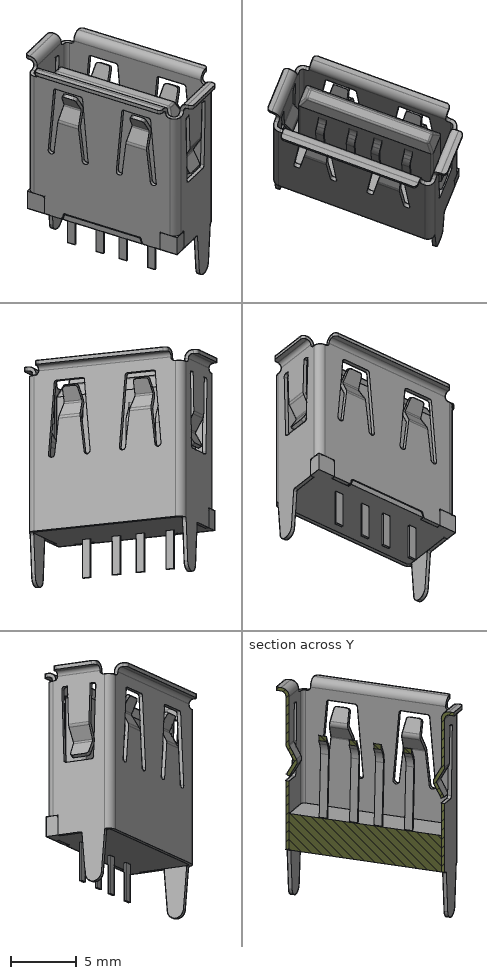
import cadquery as cq
import math


SHEET = 0.3
SHELL_X = 13.1
SHELL_Y = 5.7
HALF_X = SHELL_X / 2
HALF_Y = SHELL_Y / 2
CORNER_R = 0.6
TOTAL_Z = 17.1
LEG_DEPTH = 4.0
MOUTH_Z = TOTAL_Z - LEG_DEPTH

FLARE_INNER_R = 0.35
FLARE_OUTER_R = FLARE_INNER_R + SHEET
FLARE_REACH = 0.75
FLARE_CORNER_R = 0.3
FLARE_HALF_LONG = 5.55
FLARE_HALF_SHORT = 1.85
NECK_R = 0.3
WALL_TOP_Z = MOUTH_Z - FLARE_OUTER_R - NECK_R

BEND_ANGLE = math.radians(30)
BEND_R = 0.15
RAMP_RISE = 1.2
TIP_LENGTH = 1.3
TIP_CORNER_R = 0.24
WINDOW_TOP_Z = 11.58
WINDOW_BOTTOM_Z = 5.61

LONG_SPRING_X = 2.98
LONG_BEND_Z = 8.72
LONG_WINDOW_TOP_HALF = 1.25
LONG_WINDOW_CORNER_R = 0.2
SLOT_R = 0.25
SLOT_END_X = 1.49
SLOT_END_Z = WINDOW_BOTTOM_Z + SLOT_R
LONG_SPRING_ROOT_HALF = SLOT_END_X - SLOT_R
LONG_SPRING_TIP_HALF = 0.6

SHORT_BEND_Z = 8.45
SHORT_WINDOW_TOP_HALF = 1.47
SHORT_WINDOW_BOTTOM_HALF = 1.28
SHORT_WINDOW_CORNER_R = 0.2
SHORT_SPRING_ROOT_HALF = 1.0
SHORT_SPRING_TIP_HALF = 0.79

LEG_Y = 1.27
LEG_ROOT_HALF = 1.0
LEG_TIP_HALF = 0.65
LEG_TIP_R = 0.7
LEG_ROOT_R = 0.15

NOTCH_BOTTOM_HALF = 3.52
NOTCH_TOP_HALF = 3.37
NOTCH_HEIGHT = 0.55
NOTCH_R = 0.15
TAB_GAP = 0.07

FLOOR_Z = 3.0
FOOT_X = 1.5
FOOT_Y = 1.03
FOOT_Z = 1.55
FOOT_CORNER_R = 0.2
TONGUE_X = 10.98
TONGUE_BACK_Y = -0.03
TONGUE_Y = 1.8
TONGUE_EDGE_R = 0.17
TONGUE_TAPER_Z = 10.98
TONGUE_TOP_Z = 12.02
TONGUE_SIDE_INSET = 0.5
TONGUE_FRONT_INSET = 0.5
TONGUE_BACK_INSET = 0.41
TONGUE_RIM_R = 0.19

OUTER_CONTACT_X = 3.5
INNER_CONTACT_X = 1.01
CONTACT_XS = (-OUTER_CONTACT_X, -INNER_CONTACT_X, INNER_CONTACT_X, OUTER_CONTACT_X)
CONTACT_WIDTH = 0.65
CONTACT_SHEET = 0.17
CONTACT_BASE_Y = 0.1
CONTACT_CREST_Y = 0.58
CONTACT_CREST_Z = 8.55
CONTACT_RETURN_ANGLE = math.radians(60)
CONTACT_CREST_R = 1.71
CONTACT_FOLD_R = 1.28
CONTACT_END_Z = 10.26
PIN_Y = -1.39
PIN_DEPTH = 3.0


def rounded_polygon(plane, points):
    """Closed outline through (u, v, corner radius) points, with tangent arcs at the corners."""
    corners = []
    for index, (u, v, radius) in enumerate(points):
        corner = cq.Vector(u, v)
        before = (cq.Vector(*points[index - 1][:2]) - corner).normalized()
        after = (cq.Vector(*points[(index + 1) % len(points)][:2]) - corner).normalized()
        half_angle = before.getAngle(after) / 2
        setback = radius / math.tan(half_angle)
        bulge = radius / math.sin(half_angle) - radius
        middle = corner + (before + after).normalized() * bulge
        corners.append((radius, corner + before * setback, middle, corner + after * setback))

    outline = cq.Workplane(plane).moveTo(*corners[0][3].toTuple()[:2])
    for radius, start, middle, end in corners[1:] + corners[:1]:
        outline = outline.lineTo(*start.toTuple()[:2])
        if radius > 0:
            outline = outline.threePointArc(middle.toTuple()[:2], end.toTuple()[:2])
    return outline.close()


def trapezoid(bottom_half, bottom_z, top_half, top_z, bottom_r=0, top_r=0):
    """Corner list of a symmetric trapezoid with optional corner radii."""
    return [
        (-bottom_half, bottom_z, bottom_r),
        (bottom_half, bottom_z, bottom_r),
        (top_half, top_z, top_r),
        (-top_half, top_z, top_r),
    ]


def through_front(points):
    """Prism along Y from the middle plane out through a wall facing -Y."""
    return rounded_polygon("XZ", points).extrude(SHELL_X)


def block(x_range, y_range, z_range):
    sizes = [high - low for low, high in (x_range, y_range, z_range)]
    return cq.Workplane("XY").box(*sizes, centered=False).translate((x_range[0], y_range[0], z_range[0]))



def shell_tube():
    height = WALL_TOP_Z + LEG_DEPTH
    base = cq.Workplane("XY").workplane(offset=-LEG_DEPTH)
    outside = base.rect(SHELL_X, SHELL_Y).extrude(height).edges("|Z").fillet(CORNER_R)
    inside = base.rect(SHELL_X - 2 * SHEET, SHELL_Y - 2 * SHEET).extrude(height)
    return outside.cut(inside.edges("|Z").fillet(CORNER_R - SHEET))


def flared_lip(wall, half_width):
    """Neck on top of a wall, curling outward into a flat lip."""
    face = -wall
    bend_y = face - FLARE_INNER_R
    bend_z = MOUTH_Z - FLARE_OUTER_R
    diagonal = math.sqrt(0.5)
    section = (
        cq.Workplane("YZ")
        .moveTo(face, WALL_TOP_Z)
        .lineTo(face, bend_z)
        .threePointArc(
            (bend_y + FLARE_INNER_R * diagonal, bend_z + FLARE_INNER_R * diagonal),
            (bend_y, MOUTH_Z - SHEET),
        )
        .lineTo(face - FLARE_REACH, MOUTH_Z - SHEET)
        .lineTo(face - FLARE_REACH, MOUTH_Z)
        .lineTo(bend_y, MOUTH_Z)
        .threePointArc(
            (bend_y + FLARE_OUTER_R * diagonal, bend_z + FLARE_OUTER_R * diagonal),
            (face + SHEET, bend_z),
        )
        .lineTo(face + SHEET, WALL_TOP_Z)
        .close()
        .extrude(half_width + NECK_R, both=True)
    )
    outer = face - FLARE_REACH
    plan = trapezoid(half_width, outer, half_width, 0, bottom_r=FLARE_CORNER_R)
    lip = section.intersect(rounded_polygon("XY", plan).extrude(MOUTH_Z))
    ear_reach = half_width + NECK_R
    ears = block((-ear_reach, ear_reach), (face, face + SHEET), (WALL_TOP_Z, bend_z))
    for side in (-1, 1):
        ears = ears.cut(
            cq.Workplane("XZ").center(side * ear_reach, bend_z).circle(NECK_R).extrude(2 * wall)
        )
    return lip.union(ears)


def bent_leaf(wall, root_z, bend_z, direction, root_half, tip_half):
    """Tapered leaf that ramps into the cavity and back out; direction is +1 up or -1 down."""
    crest = RAMP_RISE * math.tan(BEND_ANGLE)
    crest_z = bend_z + direction * RAMP_RISE
    tip = crest - TIP_LENGTH * math.sin(BEND_ANGLE)
    tip_z = crest_z + direction * TIP_LENGTH * math.cos(BEND_ANGLE)
    inner_tip = tip + SHEET * math.cos(BEND_ANGLE)
    inner_tip_z = tip_z + direction * SHEET * math.sin(BEND_ANGLE)
    inner_bend_z = bend_z - direction * SHEET * math.tan(BEND_ANGLE / 2)
    section = [
        (0, root_z, 0),
        (0, bend_z, BEND_R + SHEET),
        (crest, crest_z, BEND_R),
        (tip, tip_z, 0),
        (inner_tip, inner_tip_z, 0),
        (crest + SHEET / math.cos(BEND_ANGLE), crest_z, BEND_R + SHEET),
        (SHEET, inner_bend_z, BEND_R),
        (SHEET, root_z, 0),
    ]
    strip = rounded_polygon("YZ", section).extrude(root_half, both=True).translate((0, -wall, 0))
    plan = through_front(trapezoid(root_half, root_z, tip_half, inner_tip_z))
    tip_heading = cq.Vector(0, -math.sin(BEND_ANGLE), direction * math.cos(BEND_ANGLE))
    tip_face = cq.selectors.DirectionMinMaxSelector(tip_heading)
    return strip.intersect(plan).faces(tip_face).edges("not |X").fillet(TIP_CORNER_R)


def long_wall_spring():
    """Window to cut and leaf to add for one spring at x = 0 of the front wall."""
    leaf = bent_leaf(HALF_Y, SLOT_END_Z, LONG_BEND_Z, 1, LONG_SPRING_ROOT_HALF, LONG_SPRING_TIP_HALF)
    window_plan = trapezoid(
        SLOT_END_X + SLOT_R, SLOT_END_Z, LONG_WINDOW_TOP_HALF, WINDOW_TOP_Z, top_r=LONG_WINDOW_CORNER_R
    )
    slot_ends = (
        cq.Workplane("XZ")
        .pushPoints([(-SLOT_END_X, SLOT_END_Z), (SLOT_END_X, SLOT_END_Z)])
        .circle(SLOT_R)
        .extrude(SHELL_X)
    )
    return through_front(window_plan).union(slot_ends), leaf


def short_wall_spring():
    """Window to cut and leaf to add for the spring of a short wall turned to face -Y."""
    leaf = bent_leaf(
        HALF_X, WINDOW_TOP_Z, SHORT_BEND_Z, -1, SHORT_SPRING_ROOT_HALF, SHORT_SPRING_TIP_HALF
    )
    window_plan = trapezoid(
        SHORT_WINDOW_BOTTOM_HALF,
        WINDOW_BOTTOM_Z,
        SHORT_WINDOW_TOP_HALF,
        WINDOW_TOP_Z,
        bottom_r=SHORT_WINDOW_CORNER_R,
        top_r=SHORT_WINDOW_CORNER_R,
    )
    return through_front(window_plan), leaf


def leg_clearance():
    """Everything below the housing except the two legs, as a prism along X."""
    far = 2 * HALF_Y
    outline = [
        (-far, 0, 0),
        (LEG_Y - LEG_ROOT_HALF, 0, LEG_ROOT_R),
        (LEG_Y - LEG_TIP_HALF, -LEG_DEPTH, LEG_TIP_R),
        (LEG_Y + LEG_TIP_HALF, -LEG_DEPTH, LEG_TIP_R),
        (LEG_Y + LEG_ROOT_HALF, 0, LEG_ROOT_R),
        (far, 0, 0),
        (far, -2 * LEG_DEPTH, 0),
        (-far, -2 * LEG_DEPTH, 0),
    ]
    return rounded_polygon("YZ", outline).extrude(SHELL_X, both=True)


def foot_block(side, corner_r):
    """Corner block under a front corner; its inner upper corners have radius corner_r."""
    inner_x = HALF_X - FOOT_X
    foot = block((inner_x, HALF_X), (-HALF_Y, FOOT_Y - HALF_Y), (0, FOOT_Z))
    if corner_r > 0:
        foot = foot.edges("(<X and >Z) or (>Y and >Z)").fillet(corner_r)
    return foot if side > 0 else foot.mirror("YZ")


def in_front_wall(shape):
    """Part of a shape that lies within the thickness of the front wall."""
    return shape.intersect(block((-HALF_X, HALF_X), (-HALF_Y, SHEET - HALF_Y), (0, WALL_TOP_Z)))


def front_notch():
    """Notch under the front wall, with rounded edges at its mouth."""
    far = NOTCH_BOTTOM_HALF + 2 * NOTCH_R
    outline = [
        (-far, -NOTCH_HEIGHT, 0),
        (far, -NOTCH_HEIGHT, 0),
        (far, 0, 0),
        (NOTCH_BOTTOM_HALF, 0, NOTCH_R),
        (NOTCH_TOP_HALF, NOTCH_HEIGHT, NOTCH_R),
        (-NOTCH_TOP_HALF, NOTCH_HEIGHT, NOTCH_R),
        (-NOTCH_BOTTOM_HALF, 0, NOTCH_R),
        (-far, 0, 0),
    ]
    return in_front_wall(through_front(outline))


def front_tab():
    """Tab of the insert that fills the notch but for a small gap."""
    bottom_half = NOTCH_BOTTOM_HALF - TAB_GAP
    top_half = NOTCH_TOP_HALF - TAB_GAP
    outline = trapezoid(bottom_half, 0, top_half, NOTCH_HEIGHT - TAB_GAP, top_r=NOTCH_R)
    return in_front_wall(through_front(outline))


def build_shell():
    shell = shell_tube().cut(leg_clearance()).cut(front_notch())
    for side in (-1, 1):
        shell = shell.cut(foot_block(side, 0))

    long_lip = flared_lip(HALF_Y, FLARE_HALF_LONG)
    short_lip = flared_lip(HALF_X, FLARE_HALF_SHORT)
    long_window, long_leaf = long_wall_spring()
    short_window, short_leaf = short_wall_spring()

    def turned(shape, angle):
        return shape.rotate((0, 0, 0), (0, 0, 1), angle)

    for angle in (0, 180):
        shell = shell.union(turned(long_lip, angle))
        for spring_x in (-LONG_SPRING_X, LONG_SPRING_X):
            shell = shell.cut(turned(long_window.translate((spring_x, 0, 0)), angle))
            shell = shell.union(turned(long_leaf.translate((spring_x, 0, 0)), angle))
    for angle in (-90, 90):
        shell = shell.union(turned(short_lip, angle))
        shell = shell.cut(turned(short_window, angle))
        shell = shell.union(turned(short_leaf, angle))
    return shell



def insert_base():
    """Plug that fills the bottom of the shell, with its front tab and corner feet."""
    plug = (
        cq.Workplane("XY")
        .rect(SHELL_X - 2 * SHEET, SHELL_Y - 2 * SHEET)
        .extrude(FLOOR_Z)
        .edges("|Z")
        .fillet(CORNER_R - SHEET)
    )
    plug = plug.union(front_tab())
    for side in (-1, 1):
        plug = plug.union(foot_block(side, FOOT_CORNER_R))
    return plug


def tapered_outline(plane, low, high, low_inset, high_inset):
    """Upright outline from low to high whose sides lean in above the taper height."""
    return (
        cq.Workplane(plane)
        .polyline(
            [
                (low, 0),
                (high, 0),
                (high, TONGUE_TAPER_Z),
                (high - high_inset, TONGUE_TOP_Z),
                (low + low_inset, TONGUE_TOP_Z),
                (low, TONGUE_TAPER_Z),
            ]
        )
        .close()
    )


def tongue():
    """Upright tongue with a tapered, rounded tip."""
    half_x = TONGUE_X / 2
    front_y = TONGUE_BACK_Y - TONGUE_Y
    wide = tapered_outline("XZ", -half_x, half_x, TONGUE_SIDE_INSET, TONGUE_SIDE_INSET)
    narrow = tapered_outline("YZ", front_y, TONGUE_BACK_Y, TONGUE_FRONT_INSET, TONGUE_BACK_INSET)
    post = wide.extrude(2 * TONGUE_Y).intersect(narrow.extrude(half_x, both=True))
    return post.edges("not #Z").fillet(TONGUE_EDGE_R).faces(">Z").edges().fillet(TONGUE_RIM_R)


def contact(x):
    """Contact strip leaning out of the floor and curving back into the tongue, with its pin."""
    return_height = (CONTACT_CREST_Y - TONGUE_BACK_Y) * math.tan(CONTACT_RETURN_ANGLE)
    fold_z = CONTACT_CREST_Z + return_height
    inner_drop = CONTACT_SHEET * math.tan(math.pi / 4 - CONTACT_RETURN_ANGLE / 2)
    section = [
        (CONTACT_BASE_Y, 0, 0),
        (CONTACT_CREST_Y, CONTACT_CREST_Z, CONTACT_CREST_R),
        (TONGUE_BACK_Y, fold_z, CONTACT_FOLD_R),
        (TONGUE_BACK_Y, CONTACT_END_Z, 0),
        (TONGUE_BACK_Y - CONTACT_SHEET, CONTACT_END_Z, 0),
        (TONGUE_BACK_Y - CONTACT_SHEET, fold_z - inner_drop, CONTACT_FOLD_R + CONTACT_SHEET),
        (CONTACT_CREST_Y - CONTACT_SHEET, CONTACT_CREST_Z - inner_drop, CONTACT_CREST_R - CONTACT_SHEET),
        (CONTACT_BASE_Y - CONTACT_SHEET, 0, 0),
    ]
    half = CONTACT_WIDTH / 2
    strip = rounded_polygon("YZ", section).extrude(half, both=True)
    pin_y_range = (PIN_Y - CONTACT_SHEET / 2, PIN_Y + CONTACT_SHEET / 2)
    pin = block((-half, half), pin_y_range, (-PIN_DEPTH, FLOOR_Z))
    return strip.union(pin).translate((x, 0, 0))


def build_insert():
    insert = insert_base().union(tongue())
    for x in CONTACT_XS:
        insert = insert.union(contact(x))
    return insert


shell = build_shell()
insert = build_insert()

result = cq.Compound.makeCompound([shell.val(), insert.val()])